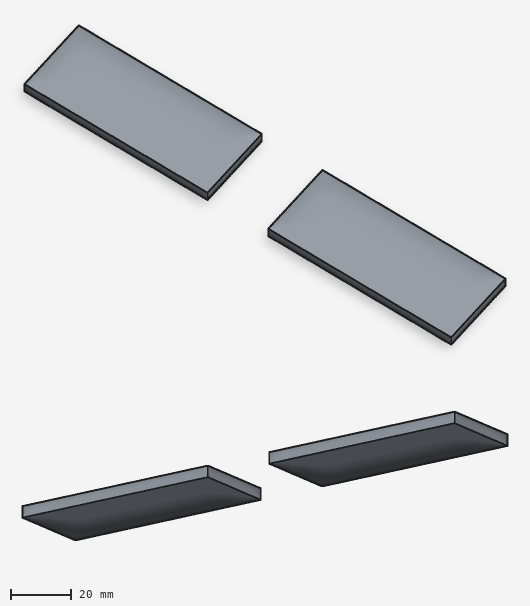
import cadquery as cq

overall_length = 175.0
plate_length = 75.1
plate_width = 30.1
plate_thickness = 4.0

plate_offset = (overall_length - plate_length) / 2


def make_plate(center_x):
    """Plain rectangular plate lying flat, centred at center_x on the X axis."""
    return cq.Workplane("XY").box(plate_length, plate_width, plate_thickness).translate((center_x, 0, 0))


plates = [make_plate(side * plate_offset) for side in (-1, 1)]

result = cq.Compound.makeCompound([plate.val() for plate in plates])